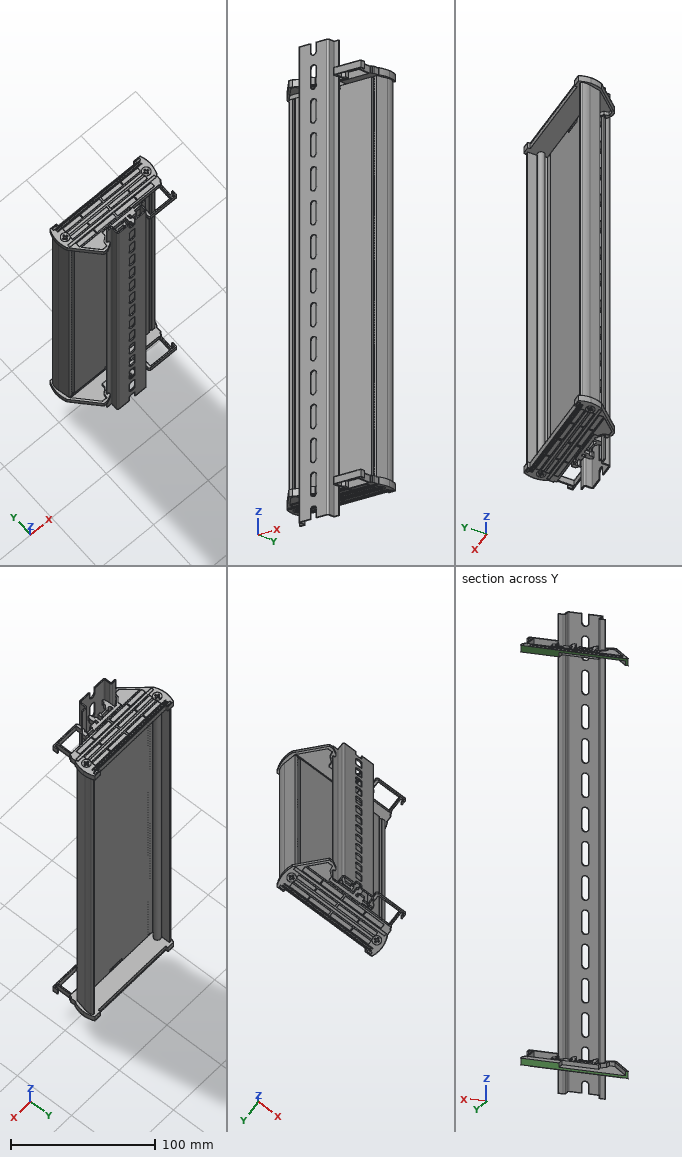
import cadquery as cq

rail_length = 350.0
rail_width = 35.0
rail_channel_width = 27.0
rail_depth = 7.5
rail_sheet = 0.98
rail_outer_bend = 1.5
rail_inner_bend = rail_outer_bend - rail_sheet
pitches_per_side = 7
slot_pitch = rail_length / 2 / pitches_per_side
slot_length = 18.0
slot_width = 5.2

assembly_width = 86.5
assembly_depth = 39.5
back_y = assembly_depth / 2
web_y = -back_y
flange_top_y = web_y + rail_depth
flange_under_y = flange_top_y - rail_sheet
flange_edge_x = rail_width / 2
fit_gap = 0.18

cap_thickness = 5.2
cap_inner_z = 148.0
cap_half_width = assembly_width / 2
cap_top_y = 18.0
cap_floor_y = -5.0
beam_top_y = -6.5
beam_under_y = -8.0
beam_left_x = -14.5
latch_left_x = 18.0
latch_gap = 0.5
beam_right_x = latch_left_x - latch_gap
cap_step_x = 13.0

housing_floor_y = 1.8
housing_wall = 1.5
side_crown_y = 11.0

screw_x = 37.0
screw_y = 8.5
screw_head_diameter = 6.5
screw_head_height = 1.8
screw_shank_diameter = 3.0
screw_length = 15.8
screw_places = [(-screw_x, screw_y), (screw_x, screw_y)]


def prism(points, z_start, height):
    """Closed polygon in XY, extruded along Z from z_start."""
    return cq.Workplane("XY").workplane(offset=z_start).polyline(points).close().extrude(height)


def block(x_range, y_range, z_start, height):
    """Rectangular block given by its X and Y limits."""
    left, right = x_range
    low, high = y_range
    return prism([(left, low), (right, low), (right, high), (left, high)], z_start, height)


def mirrored(points):
    """Half outline (right side) completed with its mirror image in the YZ plane."""
    return points + [(-x, y) for x, y in reversed(points)]


def make_rail():
    wall_outer = rail_channel_width / 2
    wall_inner = wall_outer - rail_sheet
    half_outline = [
        (wall_outer, web_y),
        (wall_outer, flange_under_y),
        (flange_edge_x, flange_under_y),
        (flange_edge_x, flange_top_y),
        (wall_inner, flange_top_y),
        (wall_inner, web_y + rail_sheet),
    ]
    rail = prism(mirrored(half_outline), -rail_length / 2, rail_length)

    def bend(body, corners, radius):
        for corner_x, corner_y in corners:
            for side in (-1, 1):
                nearest = cq.selectors.NearestToPointSelector((side * corner_x, corner_y, 0))
                body = body.edges("|Z").edges(nearest).fillet(radius)
        return body

    rail = bend(rail, [(wall_outer, web_y), (wall_inner, flange_top_y)], rail_outer_bend)
    rail = bend(
        rail,
        [(wall_outer, flange_under_y), (wall_inner, web_y + rail_sheet)],
        rail_inner_bend,
    )

    slot_numbers = range(-pitches_per_side, pitches_per_side + 1)
    slot_places = [(0, number * slot_pitch) for number in slot_numbers]
    slots = (
        cq.Workplane("XZ", origin=(0, web_y + rail_depth / 2, 0))
        .pushPoints(slot_places)
        .slot2D(slot_length, slot_width, 90)
        .extrude(rail_depth)
    )
    return rail.cut(slots)


tab_half_width = 6.3
tab_height = 1.0
tab_length = 2.0


def make_housing():
    side_x, crown_x = 41.3, 41.5
    base_x = 39.2
    rim_x = 40.5
    rim_y = 16.5
    length = 2 * cap_inner_z
    inner_floor_y = housing_floor_y + housing_wall
    inner_side_x = rim_x - housing_wall
    housing = (
        cq.Workplane("XY")
        .workplane(offset=-cap_inner_z)
        .moveTo(-base_x, housing_floor_y)
        .lineTo(base_x, housing_floor_y)
        .lineTo(side_x, side_crown_y)
        .threePointArc((crown_x, (side_crown_y + rim_y) / 2), (side_x, rim_y))
        .lineTo(rim_x, cap_top_y)
        .lineTo(inner_side_x, cap_top_y)
        .lineTo(inner_side_x, side_crown_y)
        .lineTo(base_x - housing_wall, inner_floor_y)
        .lineTo(housing_wall - base_x, inner_floor_y)
        .lineTo(-inner_side_x, side_crown_y)
        .lineTo(-inner_side_x, cap_top_y)
        .lineTo(-rim_x, cap_top_y)
        .lineTo(-side_x, rim_y)
        .threePointArc((-crown_x, (side_crown_y + rim_y) / 2), (-side_x, side_crown_y))
        .close()
        .extrude(length)
    )

    channel_diameter = 5.5
    channels = (
        cq.Workplane("XY")
        .workplane(offset=-cap_inner_z)
        .pushPoints(screw_places)
        .circle(channel_diameter / 2)
        .extrude(length)
    )
    housing = housing.union(channels)
    upper_screws = make_upper_screws()
    housing = housing.cut(upper_screws).cut(upper_screws.mirror("XY"))

    groove_inner_x, groove_outer_x = 34.3, 36.5
    groove_depth = 0.7
    for groove_range in (
        (groove_inner_x, groove_outer_x),
        (-groove_outer_x, -groove_inner_x),
    ):
        groove = block(
            groove_range, (housing_floor_y, housing_floor_y + groove_depth), -cap_inner_z, length
        )
        housing = housing.cut(groove)

    for notch_z in (cap_inner_z - tab_length, -cap_inner_z):
        housing = housing.cut(make_tab(notch_z))
    return housing


def make_tab(z_start):
    return block(
        (-tab_half_width, tab_half_width),
        (housing_floor_y, housing_floor_y + tab_height),
        z_start,
        tab_length,
    )


diagonal_top = (-41.3, 1.8)
diagonal_foot = (-23.8, -17.5)
cap_side_x = -diagonal_top[0]
rim_width = 2.0


def cap_outline():
    pad_inner_x = 35.5
    back_half = [
        (cap_side_x, back_y),
        (pad_inner_x, back_y),
        (pad_inner_x, cap_top_y),
    ]
    left_hook = [
        diagonal_top,
        diagonal_foot,
        (-20.5, -17.5),
        (-16.0, -15.0),
        (-16.0, flange_under_y - fit_gap),
        (-flange_edge_x - fit_gap, flange_under_y - fit_gap),
        (-flange_edge_x - fit_gap, flange_top_y + fit_gap),
        (-14.7, -9.5),
        (-13.0, -9.0),
        (-13.0, beam_under_y),
        (beam_left_x, beam_under_y),
        (beam_left_x, beam_top_y),
    ]
    latch_side = [
        (cap_step_x, beam_top_y),
        (cap_step_x, cap_floor_y),
        (39.5, cap_floor_y),
        (39.5, -3.0),
        (40.5, -3.0),
        (40.5, diagonal_top[1]),
        (cap_side_x, diagonal_top[1]),
    ]
    return mirrored(back_half) + left_hook + latch_side


def make_cap_bulge():
    """Curved swelling of the right cap side."""
    low_y = diagonal_top[1]
    shoulder_x = 42.7
    return (
        cq.Workplane("XY")
        .workplane(offset=cap_inner_z)
        .moveTo(cap_side_x, low_y)
        .threePointArc((shoulder_x, (low_y + side_crown_y) / 2), (cap_half_width, side_crown_y))
        .threePointArc((shoulder_x, (side_crown_y + back_y) / 2), (cap_side_x, back_y))
        .close()
        .extrude(cap_thickness)
    )


def make_relief(depth):
    """Shallow recesses in the outer face of the upper cap."""
    face_z = cap_inner_z + cap_thickness - depth
    window_end_x = 34.3
    divider_x = 18.5
    divider = 0.7
    centre_divider = 1.5
    window_rows = [(11.2, 14.5), (4.0, 6.5), (-3.5, 0.0)]
    window_columns = [
        (centre_divider / 2, divider_x - divider / 2),
        (divider_x + divider / 2, window_end_x),
    ]
    relief = cq.Workplane("XY")
    for row in window_rows:
        for near_x, far_x in window_columns:
            relief = relief.add(block((near_x, far_x), row, face_z, depth))
            relief = relief.add(block((-far_x, -near_x), row, face_z, depth))

    grooves = [
        (window_end_x, (8.0, 10.0)),
        (39.5, (0.7, 2.8)),
        (38.5, (14.7, 15.5)),
        (38.5, (16.5, 17.0)),
    ]
    for half_length, height_range in grooves:
        relief = relief.add(block((-half_length, half_length), height_range, face_z, depth))

    pad_near_x, pad_far_x = 36.5, 40.0
    pad_recess_height = (17.5, 19.0)
    for pad_range in ((-pad_far_x, -pad_near_x), (pad_near_x, pad_far_x)):
        relief = relief.add(block(pad_range, pad_recess_height, face_z, depth))
    return relief.add(make_corner_panel(face_z, depth, panel_top_y=-4.5)).vals()


def diagonal_x(y):
    """X of the slanted cap edge at height y."""
    x_high, y_high = diagonal_top
    x_low, y_low = diagonal_foot
    return x_high + (y_high - y) * (x_low - x_high) / (y_high - y_low)


def make_corner_panel(z_start, depth, panel_top_y):
    """Panel-shaped recess between the slanted rim and the beam."""
    panel_low_y = -15.5
    margin = 1.0
    points = [
        (diagonal_x(panel_top_y) + rim_width, panel_top_y),
        (diagonal_x(panel_low_y) + rim_width, panel_low_y),
        (-19.5, panel_low_y),
        (-19.0, -11.5),
        (beam_left_x - margin, -8.8),
        (beam_left_x - margin, beam_top_y + margin),
        (cap_step_x - margin, beam_top_y + margin),
        (cap_step_x - margin, panel_top_y),
    ]
    return prism(points, z_start, depth).val()


def make_foot():
    """Beam under the cap with the spring arms that reach into the rail channel."""
    outline = [
        (beam_left_x, beam_top_y),
        (beam_left_x, beam_under_y),
        (-11.2, beam_under_y),
        (-11.2, -14.0),
        (-10.5, -18.0),
        (-9.0, -18.0),
        (-9.0, -16.0),
        (-7.7, -15.5),
        (-7.7, -13.5),
        (-5.5, -11.2),
        (-0.7, -11.2),
        (-0.7, -12.2),
        (1.5, -12.2),
        (1.5, beam_under_y),
        (4.0, beam_under_y),
        (4.0, -12.2),
        (5.0, -12.5),
        (5.0, -14.7),
        (5.5, -16.5),
        (7.0, -16.5),
        (8.0, -14.5),
        (8.0, -11.0),
        (6.0, -10.5),
        (6.0, beam_under_y),
        (7.7, beam_under_y),
        (7.7, -10.0),
        (12.2, -10.0),
        (12.2, beam_under_y),
        (beam_right_x, beam_under_y),
        (beam_right_x, beam_top_y),
    ]
    arm_window = [
        (-9.5, beam_under_y),
        (0.5, beam_under_y),
        (0.5, -9.8),
        (-6.3, -9.8),
        (-8.0, -11.2),
        (-9.5, -10.0),
    ]
    foot = prism(outline, cap_inner_z, cap_thickness)
    return foot.cut(prism(arm_window, cap_inner_z, cap_thickness))


def make_latch():
    """Frame hung from the cap floor that grips the right rail flange."""
    grip_x = flange_edge_x + fit_gap
    bar_top_y, bar_under_y = -17.5, -18.5
    leg_left_x, leg_right_x = 37.5, 38.5
    outline = [
        (leg_left_x, cap_floor_y),
        (leg_left_x, bar_top_y),
        (18.5, bar_top_y),
        (18.5, -11.5),
        (20.5, -9.8),
        (20.5, beam_top_y),
        (latch_left_x, beam_top_y),
        (latch_left_x, -9.8),
        (16.8, -11.2),
        (16.8, flange_top_y + fit_gap),
        (grip_x, flange_top_y + fit_gap),
        (grip_x, flange_under_y - fit_gap),
        (16.5, flange_under_y - fit_gap),
        (16.5, bar_top_y),
        (17.5, bar_under_y),
        (41.5, bar_under_y),
        (41.5, -14.5),
        (40.5, -14.5),
        (40.5, bar_top_y),
        (leg_right_x, bar_top_y),
        (leg_right_x, cap_floor_y),
    ]
    return prism(outline, cap_inner_z, cap_thickness)


def make_upper_cap():
    """End plate with its snap-on foot and latch, moulded in one piece."""
    relief_depth = 0.5
    inner_recess_depth = 3.0
    cap = prism(cap_outline(), cap_inner_z, cap_thickness)
    bulge = make_cap_bulge()
    cap = cap.union(bulge).union(bulge.mirror("YZ"))
    for recess in make_relief(relief_depth):
        cap = cap.cut(cq.Workplane(recess))
    inner_recess = make_corner_panel(cap_inner_z, inner_recess_depth, housing_floor_y)
    cap = cap.cut(cq.Workplane(inner_recess))
    cap = cap.union(make_foot()).union(make_latch())
    cap = cap.union(make_tab(cap_inner_z - tab_length))
    return cap.cut(make_upper_screws())


def make_upper_screws():
    """Two plain screws, heads flush with the outer face of the upper cap."""
    face_z = cap_inner_z + cap_thickness
    shanks = (
        cq.Workplane("XY")
        .workplane(offset=face_z - screw_length)
        .pushPoints(screw_places)
        .circle(screw_shank_diameter / 2)
        .extrude(screw_length)
    )
    heads = (
        cq.Workplane("XY")
        .workplane(offset=face_z - screw_head_height)
        .pushPoints(screw_places)
        .circle(screw_head_diameter / 2)
        .extrude(screw_head_height)
    )
    return shanks.union(heads)


def cut_drives(screws):
    """Cross recess in every screw head of the upper pair."""
    drive_length = 4.0
    drive_width = 1.0
    drive_depth = 1.0
    face = cq.Workplane("XY").workplane(offset=cap_inner_z + cap_thickness).pushPoints(screw_places)
    along_x = face.rect(drive_length, drive_width).extrude(-drive_depth)
    along_y = face.rect(drive_width, drive_length).extrude(-drive_depth)
    return screws.cut(along_x).cut(along_y)


rail = make_rail()
housing = make_housing()
upper_cap = make_upper_cap()
upper_screws = cut_drives(make_upper_screws())
bodies = [rail.val(), housing.val()]
for upper_bodies in (upper_cap, upper_screws):
    bodies += upper_bodies.solids().vals()
    bodies += upper_bodies.mirror("XY").solids().vals()

result = cq.Compound.makeCompound(bodies)